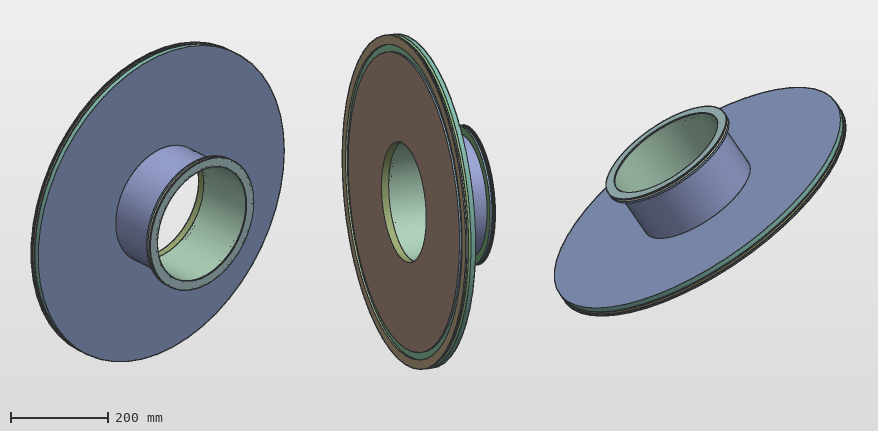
import cadquery as cq

total_length = 145.0
plate_radius = 345.0
plate_thickness = 22.0
end_flange_radius = 145.0
end_flange_thickness = 12.0

bore_radius = 125.0
tube_radius = 127.5
plate_lip = 16.0
end_flange_lip = 3.0

plate_front_rim = 3.5
plate_groove_floor = 4.0
plate_groove_slope = 4.0
plate_groove_depth = 3.0

end_front_rim = 3.0
end_groove_floor = 2.0
end_groove_slope = 3.0
end_groove_depth = 3.0

face_groove_outer_radius = 326.0
face_groove_inner_radius = 310.5
face_groove_depth = 4.0


def ring(start, end, inner_radius, outer_radius):
    """Hollow cylinder along X between two X positions."""
    return (
        cq.Workplane("YZ", origin=(start, 0, 0))
        .circle(outer_radius)
        .circle(inner_radius)
        .extrude(end - start)
    )


def flange(face, inward, thickness, radius, lip, front_rim, floor, slope, depth):
    """Flange with a rim groove and a tube socket, from its outer face; inward is +1 or -1 along X."""
    floor_end = front_rim + floor
    slope_end = floor_end + slope
    profile = [
        (0, bore_radius),
        (0, radius),
        (front_rim, radius),
        (front_rim, radius - depth),
        (floor_end, radius - depth),
        (slope_end, radius),
        (thickness, radius),
        (thickness, tube_radius),
        (lip, tube_radius),
        (lip, bore_radius),
    ]
    points = [(face + inward * distance, height) for distance, height in profile]
    return cq.Workplane("XY").polyline(points).close().revolve(360, (0, 0, 0), (1, 0, 0))


plate = flange(
    0, 1, plate_thickness, plate_radius, plate_lip,
    plate_front_rim, plate_groove_floor, plate_groove_slope, plate_groove_depth,
)
plate = plate.cut(ring(0, face_groove_depth, face_groove_inner_radius, face_groove_outer_radius))

end_flange = flange(
    total_length, -1, end_flange_thickness, end_flange_radius, end_flange_lip,
    end_front_rim, end_groove_floor, end_groove_slope, end_groove_depth,
)

tube = ring(plate_lip, total_length - end_flange_lip, bore_radius, tube_radius)

result = cq.Compound.makeCompound([plate.val(), end_flange.val(), tube.val()])